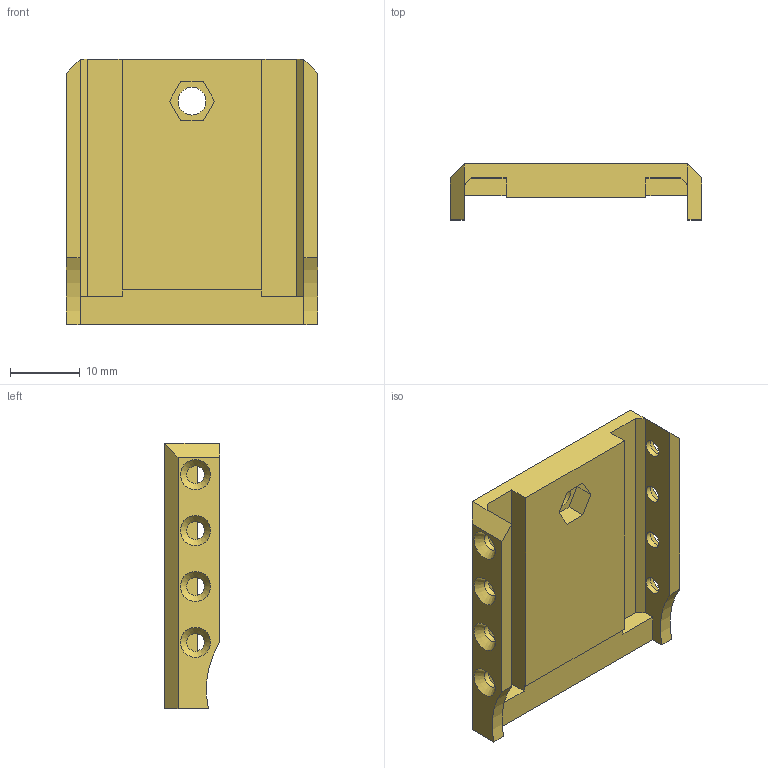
import cadquery as cq

WIDTH = 36.0
DEPTH = 8.0
HEIGHT = 38.0

WALL = 2.0
OUTER_CHAMFER = 2.0
PLATE_THICKNESS = 4.5

PAD_WIDTH = 20.0
PAD_RISE = 0.3
PAD_BOTTOM = 5.0

POCKET_FLOOR = 2.0
POCKET_BOTTOM = 4.0
POCKET_CHAMFER = 1.0

NUT_Z = 32.0
NUT_ACROSS_CORNERS = 6.46
NUT_DEPTH = 2.8
SCREW_DIAMETER = 4.0

SIDE_HOLE_DIAMETER = 2.5
SIDE_SINK_DIAMETER = 4.3
SIDE_SINK_DEPTH = 1.2
SIDE_HOLE_Y = 3.5
SIDE_HOLE_FIRST_Z = 9.5
SIDE_HOLE_PITCH = 8.0
SIDE_HOLE_COUNT = 4

RELIEF_RADIUS = 13.0
RELIEF_DEPTH = 1.96
RELIEF_Z = 2.75

INNER_WIDTH = WIDTH - 2 * WALL
PLATE_FRONT = DEPTH - PLATE_THICKNESS
PAD_FRONT = PLATE_FRONT - PAD_RISE


def box(x_range, y_range, z_range):
    """Axis-aligned block given by its limits along each axis."""
    size = [high - low for low, high in (x_range, y_range, z_range)]
    corner = (x_range[0], y_range[0], z_range[0])
    return cq.Workplane("XY").box(*size, centered=False).translate(corner)


def make_channel():
    """Back plate with two side walls, chamfered on the outer back and top edges."""
    body = box((-WIDTH / 2, WIDTH / 2), (0, DEPTH), (0, HEIGHT))
    body = body.edges("|Z and >Y").chamfer(OUTER_CHAMFER)
    top_corner = [
        (WIDTH / 2 - OUTER_CHAMFER, HEIGHT),
        (WIDTH / 2, HEIGHT),
        (WIDTH / 2, HEIGHT - OUTER_CHAMFER),
    ]
    corner_cut = cq.Workplane("XZ").polyline(top_corner).close().extrude(-DEPTH)
    body = body.cut(corner_cut).cut(corner_cut.mirror("YZ"))
    opening = box((-INNER_WIDTH / 2, INNER_WIDTH / 2), (0, PLATE_FRONT), (0, HEIGHT))
    return body.cut(opening)


def make_pad():
    """Raised central pad, open to the top edge."""
    return box((-PAD_WIDTH / 2, PAD_WIDTH / 2), (PAD_FRONT, PLATE_FRONT), (PAD_BOTTOM, HEIGHT))


def make_pocket():
    """Pocket on the +X side, with a bevel left where its floor meets the side wall."""
    inner_x = PAD_WIDTH / 2
    outer_x = INNER_WIDTH / 2
    floor_y = DEPTH - POCKET_FLOOR
    outline = [
        (inner_x, PLATE_FRONT),
        (outer_x, PLATE_FRONT),
        (outer_x, floor_y - POCKET_CHAMFER),
        (outer_x - POCKET_CHAMFER, floor_y),
        (inner_x, floor_y),
    ]
    pocket = cq.Workplane("XY").polyline(outline).close().extrude(HEIGHT - POCKET_BOTTOM)
    return pocket.translate((0, 0, POCKET_BOTTOM))


def make_nut_seat():
    """Hexagonal nut seat with a screw hole through to the back."""
    front = cq.Workplane("XZ", origin=(0, PAD_FRONT, NUT_Z))
    seat = front.polygon(6, NUT_ACROSS_CORNERS).extrude(-NUT_DEPTH)
    hole = front.circle(SCREW_DIAMETER / 2).extrude(PAD_FRONT - DEPTH)
    return seat.union(hole)


def make_side_hole(z):
    """Hole through the -X wall, countersunk from outside."""
    hole_radius = SIDE_HOLE_DIAMETER / 2
    sink_radius = SIDE_SINK_DIAMETER / 2
    profile = [
        (0, 0),
        (sink_radius, 0),
        (hole_radius, SIDE_SINK_DEPTH),
        (hole_radius, WALL),
        (0, WALL),
    ]
    plane = cq.Plane(origin=(-WIDTH / 2, SIDE_HOLE_Y, z), xDir=(0, 1, 0), normal=(0, 0, -1))
    return cq.Workplane(plane).polyline(profile).close().revolve(360, (0, 0), (0, 1))


def make_relief():
    """Round cutter across both side walls."""
    center_y = RELIEF_DEPTH - RELIEF_RADIUS
    cutter = cq.Workplane("YZ").center(center_y, RELIEF_Z).circle(RELIEF_RADIUS)
    return cutter.extrude(WIDTH / 2, both=True)


pocket = make_pocket()
result = make_channel().union(make_pad())
result = result.cut(pocket).cut(pocket.mirror("YZ"))
result = result.cut(make_nut_seat()).cut(make_relief())
for index in range(SIDE_HOLE_COUNT):
    side_hole = make_side_hole(SIDE_HOLE_FIRST_Z + index * SIDE_HOLE_PITCH)
    result = result.cut(side_hole).cut(side_hole.mirror("YZ"))